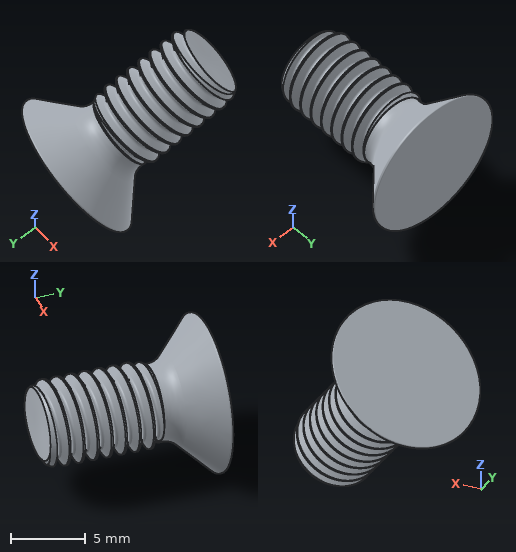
import cadquery as cq
import math

length = 12.0
head_radius = 11.0 / 2
rim_height = 0.18
rim_fillet = 0.07
neck_radius = 2.68
neck_fillet = 1.61
cone_angle = math.radians(45)

thread_length = 8.08
major_radius = 3.0
pitch = major_radius / 3
flank_angle = math.radians(30)
crest_flat = pitch / 8
root_width = pitch / 4
groove_start = -0.75
groove_turns = 9.5

taper_angle = math.radians(30)
tip_radius = 2.62
runout_radius = 2.7

dish_radius = 2.47
dish_depth = 0.1


def revolve_about_y(outline):
    """Turn a half outline drawn in the XY plane around the Y axis."""
    return outline.close().revolve(360, (0, 0, 0), (0, 1, 0))


def head_and_neck():
    """45 degree head with a thin rounded rim, blended into the plain neck."""
    cone_base = length - rim_height
    blend_top_radius = neck_radius + neck_fillet * (1 - math.cos(cone_angle))
    blend_top = cone_base - (head_radius - blend_top_radius) / math.tan(cone_angle)
    blend_bottom = blend_top - neck_fillet * math.sin(cone_angle)
    blend_middle = (
        neck_radius + neck_fillet * (1 - math.cos(cone_angle / 2)),
        blend_bottom + neck_fillet * math.sin(cone_angle / 2),
    )
    outline = (
        cq.Workplane("XY")
        .moveTo(0, thread_length)
        .lineTo(neck_radius, thread_length)
        .lineTo(neck_radius, blend_bottom)
        .threePointArc(blend_middle, (blend_top_radius, blend_top))
        .lineTo(head_radius, cone_base)
        .lineTo(head_radius, length)
        .lineTo(0, length)
    )
    head = revolve_about_y(outline)
    rim_zone = cq.selectors.BoxSelector(
        (-length, cone_base - rim_fillet, -length),
        (length, length + rim_fillet, length),
        boundingbox=True,
    )
    return head.edges(rim_zone).edges("%CIRCLE").fillet(rim_fillet)


def shank_envelope():
    """Shank at the major radius, tapered at both ends, with a dished tip."""
    tip_taper = (major_radius - tip_radius) / math.tan(taper_angle)
    runout_taper = (major_radius - runout_radius) / math.tan(taper_angle)
    outline = (
        cq.Workplane("XY")
        .moveTo(0, dish_depth)
        .lineTo(dish_radius, 0)
        .lineTo(tip_radius, 0)
        .lineTo(major_radius, tip_taper)
        .lineTo(major_radius, thread_length - runout_taper)
        .lineTo(runout_radius, thread_length)
        .lineTo(0, thread_length)
    )
    return revolve_about_y(outline)


def thread_groove():
    """Helical groove cutter that runs past both ends of the shank."""
    clearance = 0.06
    flank_slope = math.tan(flank_angle)
    crest_half_width = (pitch - crest_flat) / 2
    root_half_width = root_width / 2
    outer_half_width = crest_half_width + clearance * flank_slope
    outer_radius = major_radius + clearance

    tangent_radius = major_radius - (crest_half_width - root_half_width) / flank_slope
    root_arc = root_half_width / math.cos(flank_angle)
    root_radius = tangent_radius - root_arc * (1 - math.sin(flank_angle))

    helix = cq.Wire.makeHelix(pitch, groove_turns * pitch, tangent_radius)
    groove = (
        cq.Workplane("XZ")
        .moveTo(outer_radius, -outer_half_width)
        .lineTo(outer_radius, outer_half_width)
        .lineTo(tangent_radius, root_half_width)
        .threePointArc((root_radius, 0), (tangent_radius, -root_half_width))
        .close()
        .sweep(cq.Workplane(obj=helix), isFrenet=True)
    )
    along_y = groove.rotate((0, 0, 0), (1, 0, 0), -90)
    return along_y.rotate((0, 0, 0), (0, 1, 0), 180).translate((0, groove_start, 0))


def threaded_shank():
    """Groove an overlong rod, then trim it to the tapered shank."""
    overrun = 2 * pitch
    rod_length = thread_length + 2 * overrun
    rod = cq.Workplane("XZ", origin=(0, -overrun, 0)).circle(major_radius).extrude(-rod_length)
    return rod.cut(thread_groove()).intersect(shank_envelope())


result = threaded_shank().union(head_and_neck())